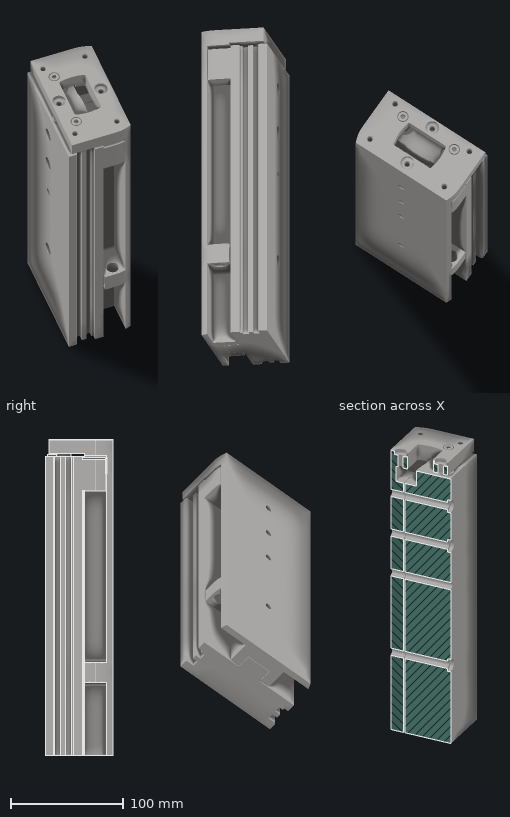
import cadquery as cq
import math

WIDTH = 104.0
DEPTH = 60.0
LENGTH = 281.0

BASE_LENGTH = 266.0
FLANGE_DEPTH = 7.0
FLANGE_BEVEL = 1.0
RIB_FRONT = 13.5
RIB_BACK = 17.7
SLAB_FRONT = 23.0
LIP_FRONT = 25.0
SLAB_BACK = 33.2
RIB_HALF_WIDTH = 49.0
SLAB_HALF_WIDTH = 47.5
WEB_HALF_WIDTH = 43.5

ROUND_START = 44.7
REAR_HALF_WIDTH = 48.5

WALL_FRONT = 54.5
PLATE_FRONT = 3.0
PLATE_REAR_BOTTOM = 267.0
PLATE_FRONT_BOTTOM = 268.5
PAD_BOTTOM = 265.5
CARRIAGE_FRONT = 34.5
CARRIAGE_HALF_WIDTH = 22.2
CARRIAGE_TOP = 251.0
TABLE_LUG_BOTTOM = 65.2
TABLE_LUG_TOP = 82.5
TABLE_LUG_FILLET = 2.5
LUG_BORE_DIAMETER = 11.0
LUG_BORE_X = 43.8
LUG_BORE_Y = 44.7

BASE_LUG_INNER_X = 32.3
BASE_LUG_BOTTOM = 235.5
BASE_LUG_TOP = 263.5
LUG_CLEARANCE = 0.8
BOSS_HEIGHT = 1.7
BOSS_WIDTH = 2.8

RAIL_HALF_WIDTH = 11.8
RAIL_BACK = 46.5
RAIL_GAP = 0.5
TONGUE_FRONT = 39.0
TONGUE_BACK = 41.0
GROOVE_HALF_SPACING = 9.3
SEAT_HALF_WIDTH = 12.5
SEAT_EDGE = 33.7
SEAT_CROWN = 34.5

MOUNT_PITCH = 40.0
MOUNT_TOP_Z = 238.0
MOUNT_DIAMETER = 6.7
MOUNT_HEAD_DIAMETER = 12.0
MOUNT_HEAD_DEPTH = 3.5

PLATE_HOLE_X = 40.0
PLATE_HOLE_FRONT_Y = 10.5
PLATE_HOLE_BACK_Y = PLATE_HOLE_FRONT_Y + MOUNT_PITCH
HOLE_DIAMETER = 4.8
HOLE_CHAMFER = 0.5
CENTRE_HEAD_DIAMETER = 12.0
CENTRE_HEAD_DEPTH = 3.5
WINDOW_FRONT = 18.0
WINDOW_BACK = 43.0
WINDOW_END_HALF_WIDTH = 20.0
WINDOW_MID_HALF_WIDTH = 21.5
WINDOW_CORNER_RADIUS = 1.5

ROD_X = 27.5
ROD_Y = 16.3
ROD_DIAMETER = 13.0
BORE_DIAMETER = 25.0
BORE_DEPTH = 8.5
SCREW_RECESS_DIAMETER = 10.0
SCREW_HEAD_DIAMETER = 8.5
SCREW_RECESS_DEPTH = 2.8
SCREW_SOCKET_SIZE = 4.8

BUTTON_X = 8.0
BUTTON_Y = 8.1
BUTTON_DIAMETER = 13.0
BUTTON_HEIGHT = 2.0


def box(x_min, x_max, y_min, y_max, z_min, z_max):
    return cq.Workplane("XY").box(
        x_max - x_min, y_max - y_min, z_max - z_min, centered=False
    ).translate((x_min, y_min, z_min))


def centred_box(half_width, y_min, y_max, z_min, z_max):
    return box(-half_width, half_width, y_min, y_max, z_min, z_max)


def cylinder(x, y, z, diameter, height):
    return cq.Workplane("XY").circle(diameter / 2).extrude(height).translate((x, y, z))


def rounded_envelope():
    """Full-length outline, with both rear edges rounded off by an arc tangent to the side."""
    inset = WIDTH / 2 - REAR_HALF_WIDTH
    rise = DEPTH - ROUND_START
    radius = (inset**2 + rise**2) / (2 * inset)
    half_angle = math.asin(rise / radius) / 2
    middle_x = WIDTH / 2 - radius * (1 - math.cos(half_angle))
    middle_y = ROUND_START + radius * math.sin(half_angle)
    return (
        cq.Workplane("XY")
        .moveTo(-WIDTH / 2, 0)
        .lineTo(WIDTH / 2, 0)
        .lineTo(WIDTH / 2, ROUND_START)
        .threePointArc((middle_x, middle_y), (REAR_HALF_WIDTH, DEPTH))
        .lineTo(-REAR_HALF_WIDTH, DEPTH)
        .threePointArc((-middle_x, middle_y), (-WIDTH / 2, ROUND_START))
        .close()
        .extrude(LENGTH)
    )


def mounting_holes():
    """Through holes on the centre line, all but one counterbored from the front."""
    cutter = cq.Workplane("XY")
    for pitches_down, counterbored in ((0, True), (1, True), (2, False), (4, True)):
        z = MOUNT_TOP_Z - pitches_down * MOUNT_PITCH
        along_y = cq.Workplane("XZ").center(0, z)
        cutter = cutter.add(along_y.circle(MOUNT_DIAMETER / 2).extrude(-DEPTH))
        if counterbored:
            cutter = cutter.add(along_y.circle(MOUNT_HEAD_DIAMETER / 2).extrude(-MOUNT_HEAD_DEPTH))
    return cutter.combine()


def base_profile():
    right_side = [
        (WIDTH / 2, 0),
        (WIDTH / 2, FLANGE_DEPTH),
        (WIDTH / 2 - FLANGE_BEVEL, FLANGE_DEPTH + FLANGE_BEVEL),
        (WEB_HALF_WIDTH, FLANGE_DEPTH + FLANGE_BEVEL),
        (WEB_HALF_WIDTH, RIB_FRONT),
        (RIB_HALF_WIDTH, RIB_FRONT),
        (RIB_HALF_WIDTH, RIB_BACK),
        (WEB_HALF_WIDTH, RIB_BACK),
        (WEB_HALF_WIDTH, SLAB_FRONT),
        (SLAB_HALF_WIDTH, SLAB_FRONT),
        (SLAB_HALF_WIDTH, LIP_FRONT),
        (WIDTH / 2, LIP_FRONT),
        (WIDTH / 2, SLAB_BACK),
    ]
    left_side = [(-x, y) for x, y in reversed(right_side)]
    return cq.Workplane("XY").polyline(right_side + left_side).close().extrude(BASE_LENGTH)


def guide_rail():
    rail = centred_box(RAIL_HALF_WIDTH, SLAB_BACK, RAIL_BACK, 0, CARRIAGE_TOP)
    return rail.cut(tongues())


def tongues():
    """Two full-length strips that fill the grooves in the sides of the guide rail."""
    outer = RAIL_HALF_WIDTH + RAIL_GAP
    strips = centred_box(outer, TONGUE_FRONT, TONGUE_BACK, 0, CARRIAGE_TOP)
    return strips.cut(centred_box(GROOVE_HALF_SPACING, TONGUE_FRONT, TONGUE_BACK, 0, CARRIAGE_TOP))


def rail_seat():
    """Low crowned strip along the middle of the slab, under the guide rail."""
    return (
        cq.Workplane("XY")
        .moveTo(-SEAT_HALF_WIDTH, SLAB_BACK)
        .lineTo(SEAT_HALF_WIDTH, SLAB_BACK)
        .lineTo(SEAT_HALF_WIDTH, SEAT_EDGE)
        .threePointArc((0, SEAT_CROWN), (-SEAT_HALF_WIDTH, SEAT_EDGE))
        .close()
        .extrude(BASE_LENGTH)
    )


def corner_fillet(x, z, z_side, radius, y_min, y_max):
    """Fillet strips along Y in the inside corners at +x and -x; z_side is +1 above z, -1 below."""
    z_min, z_max = sorted((z, z + z_side * radius))
    block = centred_box(x + radius, y_min, y_max, z_min, z_max)
    for side in (-1, 1):
        hollow = (
            cq.Workplane("XZ")
            .center(side * (x + radius), z + z_side * radius)
            .circle(radius)
            .extrude(y_min - y_max)
            .translate((0, y_min, 0))
        )
        block = block.cut(hollow)
    return block.cut(centred_box(x, y_min, y_max, z_min, z_max))


def base_lugs():
    """Two side lugs, each with a low boss along its inner edge that fillets into the lug top."""
    y_max = WALL_FRONT - LUG_CLEARANCE
    boss_x = BASE_LUG_INNER_X + BOSS_WIDTH
    lugs = centred_box(WIDTH / 2, SLAB_BACK, y_max, BASE_LUG_BOTTOM, BASE_LUG_TOP)
    lugs = lugs.union(centred_box(boss_x, SLAB_BACK, y_max, BASE_LUG_TOP, BASE_LUG_TOP + BOSS_HEIGHT))
    lugs = lugs.union(corner_fillet(boss_x, BASE_LUG_TOP, 1, BOSS_HEIGHT, SLAB_BACK, y_max))
    lugs = lugs.cut(centred_box(BASE_LUG_INNER_X, SLAB_BACK, y_max, 0, LENGTH))
    return lugs.intersect(rounded_envelope())


def make_base():
    base = base_profile().union(rail_seat()).union(guide_rail()).union(base_lugs())
    base = base.union(cylinder(BUTTON_X, BUTTON_Y, BASE_LENGTH, BUTTON_DIAMETER, BUTTON_HEIGHT))
    for side in (-1, 1):
        base = base.cut(
            cylinder(side * ROD_X, ROD_Y, BASE_LENGTH - BORE_DEPTH, BORE_DIAMETER, BORE_DEPTH)
        )
    return base.cut(mounting_holes())


def plate_window():
    window = (
        cq.Workplane("XY")
        .moveTo(-WINDOW_END_HALF_WIDTH, WINDOW_FRONT)
        .lineTo(WINDOW_END_HALF_WIDTH, WINDOW_FRONT)
        .threePointArc(
            (WINDOW_MID_HALF_WIDTH, (WINDOW_FRONT + WINDOW_BACK) / 2),
            (WINDOW_END_HALF_WIDTH, WINDOW_BACK),
        )
        .lineTo(-WINDOW_END_HALF_WIDTH, WINDOW_BACK)
        .threePointArc(
            (-WINDOW_MID_HALF_WIDTH, (WINDOW_FRONT + WINDOW_BACK) / 2),
            (-WINDOW_END_HALF_WIDTH, WINDOW_FRONT),
        )
        .close()
        .extrude(LENGTH - PAD_BOTTOM)
        .edges("|Z")
        .fillet(WINDOW_CORNER_RADIUS)
    )
    return window.translate((0, 0, PAD_BOTTOM))


def plate_pad():
    """Pad under the rear of the end plate that faces the lug bosses."""
    pad_x = BASE_LUG_INNER_X + BOSS_WIDTH
    pad = centred_box(pad_x, CARRIAGE_FRONT, WALL_FRONT, PAD_BOTTOM, PLATE_REAR_BOTTOM)
    fillet_radius = PLATE_REAR_BOTTOM - PAD_BOTTOM
    return pad.union(
        corner_fillet(pad_x, PLATE_REAR_BOTTOM, -1, fillet_radius, CARRIAGE_FRONT, WALL_FRONT)
    )


def plate_hole(x, y, top):
    """Cutter for a chamfered through hole whose mouth lies at the height top."""
    radius = HOLE_DIAMETER / 2
    half_section = [
        (0, PAD_BOTTOM),
        (radius, PAD_BOTTOM),
        (radius, top - HOLE_CHAMFER),
        (radius + HOLE_CHAMFER, top),
        (0, top),
    ]
    hole = cq.Workplane("XZ").polyline(half_section).close().revolve(360, (0, 0, 0), (0, 1, 0))
    return hole.translate((x, y, 0))


def end_plate():
    front = centred_box(WIDTH / 2, PLATE_FRONT, DEPTH, PLATE_FRONT_BOTTOM, LENGTH)
    rear = centred_box(WIDTH / 2, CARRIAGE_FRONT, DEPTH, PLATE_REAR_BOTTOM, LENGTH)
    plate = front.union(rear).union(plate_pad()).cut(plate_window())
    for y in (PLATE_HOLE_FRONT_Y, PLATE_HOLE_BACK_Y):
        for x in (-PLATE_HOLE_X, PLATE_HOLE_X):
            plate = plate.cut(plate_hole(x, y, LENGTH))
        head_floor = LENGTH - CENTRE_HEAD_DEPTH
        plate = plate.cut(cylinder(0, y, head_floor, CENTRE_HEAD_DIAMETER, CENTRE_HEAD_DEPTH))
        plate = plate.cut(plate_hole(0, y, head_floor))
    return plate


def carriage():
    block = centred_box(CARRIAGE_HALF_WIDTH, CARRIAGE_FRONT, WALL_FRONT, 0, CARRIAGE_TOP)
    channel = centred_box(
        RAIL_HALF_WIDTH + RAIL_GAP, CARRIAGE_FRONT, RAIL_BACK + RAIL_GAP, 0, CARRIAGE_TOP
    )
    return block.cut(channel).union(tongues())


def table_lugs():
    """Side lugs between carriage and wall, filleted into the carriage above and below."""
    lugs = centred_box(WIDTH / 2, CARRIAGE_FRONT, WALL_FRONT, TABLE_LUG_BOTTOM, TABLE_LUG_TOP)
    for z, z_side in ((TABLE_LUG_BOTTOM, -1), (TABLE_LUG_TOP, 1)):
        lugs = lugs.union(
            corner_fillet(
                CARRIAGE_HALF_WIDTH, z, z_side, TABLE_LUG_FILLET, CARRIAGE_FRONT, WALL_FRONT
            )
        )
    lugs = lugs.cut(centred_box(CARRIAGE_HALF_WIDTH, CARRIAGE_FRONT, WALL_FRONT, 0, LENGTH))
    for x in (-LUG_BORE_X, LUG_BORE_X):
        lugs = lugs.cut(cylinder(x, LUG_BORE_Y, 0, LUG_BORE_DIAMETER, LENGTH))
    return lugs


def add_rod(table, x):
    """Round rod under the end plate with its socket screw head sunk into the plate top."""
    bottom = BASE_LENGTH - BORE_DEPTH
    recess_floor = LENGTH - SCREW_RECESS_DEPTH
    table = table.union(cylinder(x, ROD_Y, bottom, ROD_DIAMETER, LENGTH - bottom))
    table = table.cut(cylinder(x, ROD_Y, recess_floor, SCREW_RECESS_DIAMETER, SCREW_RECESS_DEPTH))
    table = table.union(cylinder(x, ROD_Y, recess_floor, SCREW_HEAD_DIAMETER, SCREW_RECESS_DEPTH))
    socket = cq.Workplane("XY").polygon(6, SCREW_SOCKET_SIZE).extrude(SCREW_RECESS_DEPTH)
    return table.cut(socket.translate((x, ROD_Y, recess_floor)))


def make_table():
    table = centred_box(WIDTH / 2, WALL_FRONT, DEPTH, 0, PLATE_REAR_BOTTOM)
    table = table.union(end_plate()).union(carriage()).union(table_lugs())
    table = table.intersect(rounded_envelope())
    for x in (-ROD_X, ROD_X):
        table = add_rod(table, x)
    return table.cut(mounting_holes())


base = make_base()
table = make_table()
result = cq.Compound.makeCompound([base.val(), table.val()])